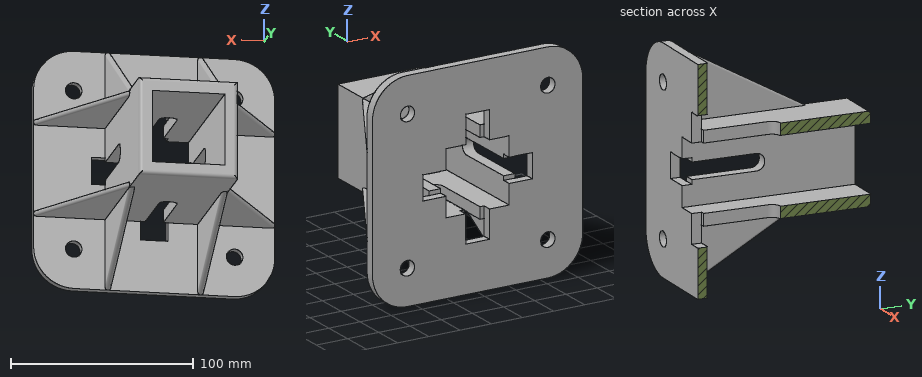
import cadquery as cq

plate_size = 135.0
plate_thickness = 6.0
plate_corner_radius = 22.5
bolt_spacing = 90.0
bolt_diameter = 9.0

tube_outer = 55.1
tube_bore = 40.4
part_depth = 105.0
tube_end_fillet = 2.2

plate_slot_width = 15.3
plate_slot_span_x = 70.0
plate_slot_span_z = 75.7

wall_slot_width = 10.0
wall_slot_end = 50.1

rib_thickness = 3.2
rib_top = 77.0
rib_edge_fillet = 1.5

half_plate = plate_size / 2
half_tube = tube_outer / 2


def box_along_y(size_x, size_z, y_start, y_end):
    """Box centred on the Y axis between two depths."""
    box = cq.Workplane("XY").box(size_x, y_end - y_start, size_z)
    return box.translate((0, (y_start + y_end) / 2, 0))


def make_plate():
    plate = box_along_y(plate_size, plate_size, 0, plate_thickness)
    plate = plate.edges("|Y").fillet(plate_corner_radius)
    return (
        plate.faces("<Y")
        .workplane()
        .rect(bolt_spacing, bolt_spacing, forConstruction=True)
        .vertices()
        .hole(bolt_diameter)
    )


def make_tube():
    tube = box_along_y(tube_outer, tube_outer, 0, part_depth)
    return tube.faces(">Y").edges().fillet(tube_end_fillet)


def make_rib():
    """Rib on the +X side with its outer face flush with the tube's +Z side."""
    inner_x = tube_bore / 2
    slope = (rib_top - plate_thickness) / (half_plate - half_tube)
    inner_y = rib_top + slope * (half_tube - inner_x)
    rib = (
        cq.Workplane("XY", origin=(0, 0, half_tube - rib_thickness))
        .moveTo(inner_x, plate_thickness)
        .lineTo(half_plate, plate_thickness)
        .lineTo(inner_x, inner_y)
        .close()
        .extrude(rib_thickness)
    )
    slope_normal = cq.Vector(slope, 1, 0)
    sloping_face = rib.faces(cq.selectors.DirectionMinMaxSelector(slope_normal))
    return sloping_face.edges("#Z").fillet(rib_edge_fillet)


def make_wall_slot():
    """Cutter along Z for the slots in the two walls facing Z."""
    radius = wall_slot_width / 2
    straight_end = wall_slot_end - radius
    return (
        cq.Workplane("XY")
        .moveTo(-radius, 0)
        .lineTo(radius, 0)
        .lineTo(radius, straight_end)
        .threePointArc((0, wall_slot_end), (-radius, straight_end))
        .close()
        .extrude(half_tube, both=True)
    )


result = make_plate().union(make_tube())

rib = make_rib()
mirrored_rib = rib.mirror("XY")
for quarter_turn in range(4):
    angle = 90 * quarter_turn
    for side_rib in (rib, mirrored_rib):
        result = result.union(side_rib.rotate((0, 0, 0), (0, 1, 0), angle))

wall_slot = make_wall_slot()
result = (
    result.cut(box_along_y(tube_bore, tube_bore, 0, part_depth))
    .cut(box_along_y(plate_slot_span_x, plate_slot_width, 0, plate_thickness))
    .cut(box_along_y(plate_slot_width, plate_slot_span_z, 0, plate_thickness))
    .cut(wall_slot)
    .cut(wall_slot.rotate((0, 0, 0), (0, 1, 0), 90))
)